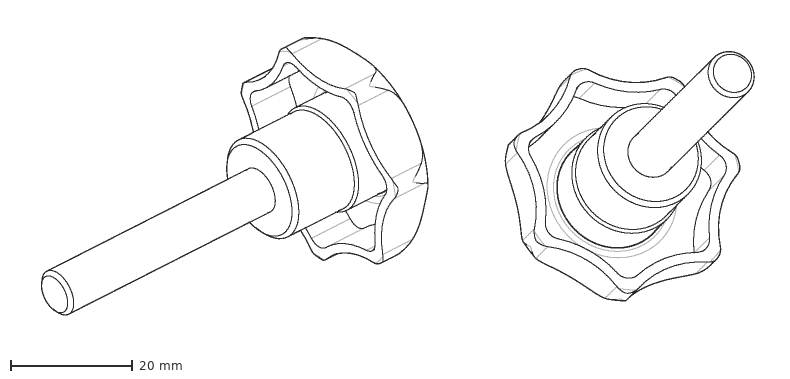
import cadquery as cq
import math


lobe_count = 7
head_depth = 12.0
lobe_reach = 20.0
tip_clearance = 0.005
head_radius = lobe_reach + tip_clearance
crown_radius = 60.0
shoulder_radius = 7.0
rim_fillet = 0.5
lobe_tip_radius = 2.4
valley_radius = 16.6

pocket_floor_depth = 3.5
pocket_reach = 17.5
pocket_tip_radius = 2.5
pocket_valley_radius = 14.9

hub_diameter = 19.0
hub_root_fillet = 0.5
recess_radius = 11.25
recess_slope = math.radians(10)

insert_diameter = 18.0
insert_end_depth = 25.0
insert_chamfer = 0.8
stud_diameter = 8.0
stud_end_depth = 70.0
stud_chamfer = 0.7

crown_y = stud_end_depth / 2


def axis_plane(depth):
    """Plane square to the knob axis whose normal points toward the stud end."""
    return cq.Plane(origin=(0, crown_y - depth, 0), xDir=(1, 0, 0), normal=(0, -1, 0))


def profile_point(radius, depth):
    """Point of a half profile in the XY plane."""
    return (radius, crown_y - depth)


def revolve_profile(profile):
    return profile.close().revolve(360, (0, 0, 0), (0, 1, 0))


def polar(radius, angle):
    return (radius * math.cos(angle), radius * math.sin(angle))


def lobed_outline(depth, reach, tip_radius, valley):
    """Closed star outline: convex lobe tips joined tangentially by concave scallops."""
    half_pitch = math.pi / lobe_count
    tip_center = reach - tip_radius
    along_valley = tip_center * math.cos(half_pitch)
    scallop_radius = (
        tip_center**2 + valley**2 - 2 * valley * along_valley - tip_radius**2
    ) / (2 * (tip_radius + along_valley - valley))

    scallop_x, scallop_y = polar(valley + scallop_radius, half_pitch)
    share = tip_radius / (tip_radius + scallop_radius)
    joint_x = tip_center + share * (scallop_x - tip_center)
    joint_y = share * scallop_y
    joint_radius = math.hypot(joint_x, joint_y)
    joint_angle = math.atan2(joint_y, joint_x)

    first_lobe = -math.pi / 2
    outline = cq.Workplane(axis_plane(depth)).moveTo(*polar(joint_radius, first_lobe - joint_angle))
    for index in range(lobe_count):
        lobe = first_lobe + 2 * half_pitch * index
        next_lobe = lobe + 2 * half_pitch
        outline = outline.threePointArc(polar(reach, lobe), polar(joint_radius, lobe + joint_angle))
        outline = outline.threePointArc(
            polar(valley, lobe + half_pitch), polar(joint_radius, next_lobe - joint_angle)
        )
    return outline.close()


def domed_body():
    """Round body with a spherical crown blended into its side."""
    blend_radius = head_radius - shoulder_radius
    blend_depth = crown_radius - math.sqrt((crown_radius - shoulder_radius) ** 2 - blend_radius**2)
    tangent_angle = math.asin(blend_radius / (crown_radius - shoulder_radius))

    def crown_point(angle):
        return profile_point(crown_radius * math.sin(angle), crown_radius * (1 - math.cos(angle)))

    def shoulder_point(angle):
        return profile_point(
            blend_radius + shoulder_radius * math.sin(angle),
            blend_depth - shoulder_radius * math.cos(angle),
        )

    rim_corner = rim_fillet * (1 - math.sqrt(0.5))

    profile = (
        cq.Workplane("XY")
        .moveTo(*profile_point(0, 0))
        .threePointArc(crown_point(tangent_angle / 2), crown_point(tangent_angle))
        .threePointArc(
            shoulder_point((tangent_angle + math.pi / 2) / 2), shoulder_point(math.pi / 2)
        )
        .lineTo(*profile_point(head_radius, head_depth - rim_fillet))
        .threePointArc(
            profile_point(head_radius - rim_corner, head_depth - rim_corner),
            profile_point(head_radius - rim_fillet, head_depth),
        )
        .lineTo(*profile_point(0, head_depth))
    )
    return revolve_profile(profile)


def lobed_head():
    lobes = lobed_outline(0, lobe_reach, lobe_tip_radius, valley_radius).extrude(head_depth)
    return domed_body().intersect(lobes)


def pocket():
    outline = lobed_outline(
        pocket_floor_depth, pocket_reach, pocket_tip_radius, pocket_valley_radius
    )
    return outline.extrude(head_depth - pocket_floor_depth)


def recess():
    """Shallow cone sinking below the pocket floor toward the hub, filleted into the hub."""
    hub_radius = hub_diameter / 2
    fillet_center_radius = hub_radius + hub_root_fillet
    tangent_radius = fillet_center_radius + hub_root_fillet * math.sin(recess_slope)
    tangent_depth = pocket_floor_depth - (recess_radius - tangent_radius) * math.tan(recess_slope)
    fillet_center_depth = tangent_depth + hub_root_fillet * math.cos(recess_slope)
    middle_angle = (math.pi / 2 - recess_slope) / 2
    middle_x, middle_y = polar(hub_root_fillet, middle_angle)

    profile = (
        cq.Workplane("XY")
        .moveTo(*profile_point(recess_radius, pocket_floor_depth))
        .lineTo(*profile_point(tangent_radius, tangent_depth))
        .threePointArc(
            profile_point(fillet_center_radius - middle_x, fillet_center_depth - middle_y),
            profile_point(hub_radius, fillet_center_depth),
        )
        .lineTo(*profile_point(hub_radius, head_depth))
        .lineTo(*profile_point(recess_radius, head_depth))
    )
    return revolve_profile(profile)


def pin(diameter, end_depth):
    """Cylinder on the knob axis, from the pocket floor to its end face."""
    return cq.Workplane(axis_plane(pocket_floor_depth)).circle(diameter / 2).extrude(
        end_depth - pocket_floor_depth
    )


hub_chamfer = (hub_diameter - insert_diameter) / 2
hub = pin(hub_diameter, head_depth).faces("<Y").chamfer(hub_chamfer)
insert = pin(insert_diameter, insert_end_depth).faces("<Y").chamfer(insert_chamfer)
stud = pin(stud_diameter, stud_end_depth).faces("<Y").chamfer(stud_chamfer)

result = lobed_head().cut(pocket().cut(hub)).cut(recess()).union(insert).union(stud)